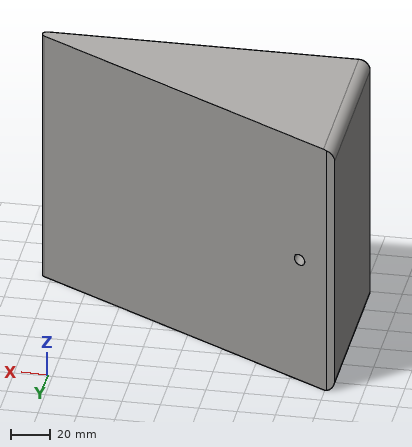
import cadquery as cq
import math

length = 170.4
depth = 100.0
height = 140.0

slope_angle = 30.0
tip_radius = 2.5
back_corner_radius = 6.0

hole_diameter = 6.0
hole_from_end = 20.0


def wedge_body():
    """Upright wedge with its tip rounded so that it ends at the part length."""
    tip_setback = tip_radius / math.tan(math.radians(slope_angle / 2)) - tip_radius
    sharp_length = length + tip_setback
    slope_start = sharp_length - depth / math.tan(math.radians(slope_angle))
    return (
        cq.Workplane("XY")
        .moveTo(0, 0)
        .lineTo(sharp_length, 0)
        .lineTo(slope_start, depth)
        .lineTo(0, depth)
        .close()
        .extrude(height)
        .edges("|Z and >X")
        .fillet(tip_radius)
    )


def through_hole():
    """Cylinder from the flat face to beyond the sloping face, at mid height."""
    return (
        cq.Workplane("XZ")
        .center(hole_from_end, height / 2)
        .circle(hole_diameter / 2)
        .extrude(-depth)
    )


body = wedge_body().edges("<X and |Y").fillet(back_corner_radius)
result = body.cut(through_hole())